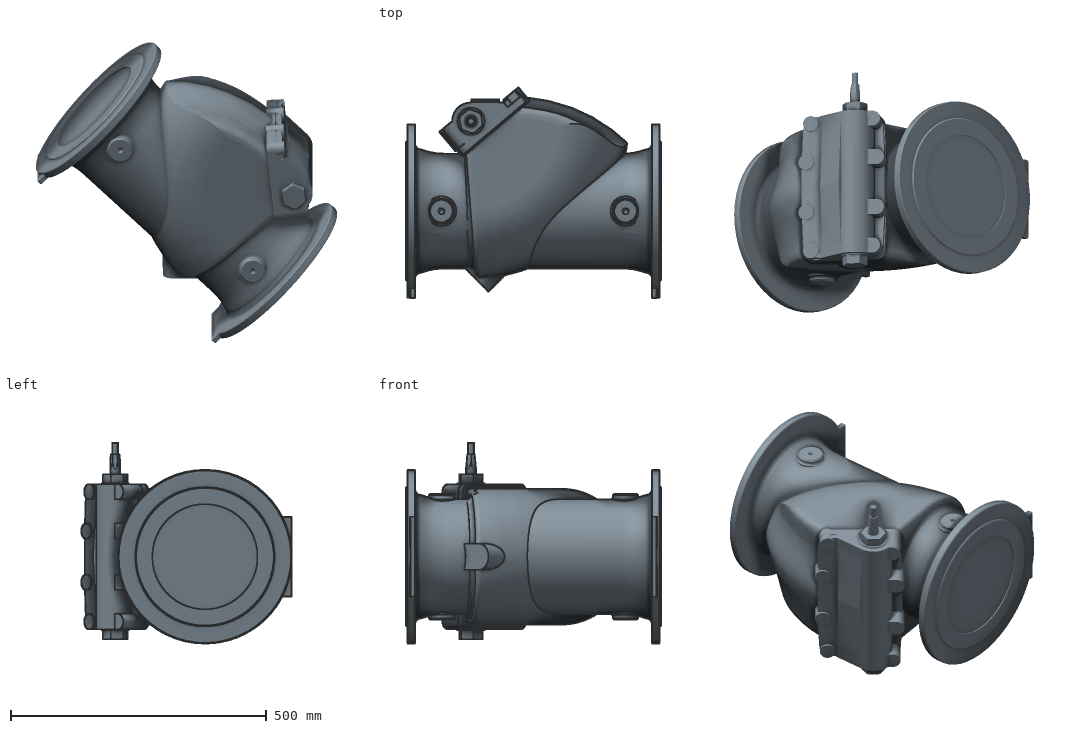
import cadquery as cq
import math

face_to_face = 500.0
pipe_radius = 225.2 / 2
pipe_seam_turn = 40.0

flange_radius = 170.0
flange_thickness = 19.0
raised_face_height = 3.0
raised_face_radius = 136.5
raised_face_chamfer = 2.0
flange_chamfer = 1.5
recess_radius = 103.0
recess_depth = 2.0
foot_width = 157.0
foot_height = 30.0
foot_thickness = 11.0
foot_corner = 3.0
foot_edge_chamfer = 1.5

neck_start = 74.0
flare_end = 29.0
flare_rise = 8.5
root_rise = 16.5

plug_offset = 180.0
plug_radius = 25.0
plug_height = 123.0
plug_chamfer = 3.0
plug_root = 4.0
plug_hole_diameter = 12.0

hinge_x = -122.2
hinge_y = 175.6
hinge_tilt = 40.0

chamber_radius = 133.0
seat_tilt = 4.5
seat_lip = 14.5
shoulder_radius = 10.0
fillet_sink = 0.6
chamber_top = -30.0
chamber_overlap = 2.0
chamber_sweep = 130.0
crown_x = -39.0
crown_y = -96.5
crown_radius = 319.6
crown_drop = 40.0
crown_mid_drop = 20.0
crown_mid_height = 0.74 * chamber_radius

stop_angle = 45.0
stop_tip_x = -88.0
stop_tip_y = -157.5
stop_radius = 25.5
stop_length = 69.0
stop_depth = 60.0

cover_half_height = 142.0
joint_bottom = -43.0
joint_line = -25.0
plate_top = -12.5
lug_radius = 15.0
lug_edge_z = cover_half_height - lug_radius
lug_middle_z = 50.0
near_corner_u = -38.0
near_middle_u = -46.0
near_lug_top = 24.0
near_web_end = -20.0
far_corner_u = 89.5
far_middle_u = 98.63
far_lug_top = -8.6
plate_bow = 5.0
joint_chamfer = 3.0
gasket_step = 1.5
housing_radius = 37.0
ridge_rise = 6.0
ridge_length = 55.0
ridge_sink = 1.0

washer_radius = 26.5
washer_height = 2.0
nut_corner_radius = 24.6
nut_top = 161.5
nut_chamfer = 1.5
stem_radius = 10.0
stem_taper_start = 172.0
stem_taper_end = 200.5
hexagon_top = 16.8
hexagon_bottom = 23.0
hexagon_turn = 50.0
pin_diameter = 12.0
stem_top = 222.85


def place_on_hinge(shape):
    """Move a shape from hinge coordinates to the valve position."""
    return shape.rotate((0, 0, 0), (0, 0, 1), hinge_tilt).translate((hinge_x, hinge_y, 0))


def make_pipe():
    """Straight pipe between the two necks."""
    pipe_length = face_to_face - 2 * neck_start
    pipe = cq.Workplane("YZ").circle(pipe_radius).extrude(pipe_length / 2, both=True)
    return pipe.rotate((0, 0, 0), (1, 0, 0), pipe_seam_turn)


def make_end():
    """Flange, foot and flared neck of the -X end."""
    end = -face_to_face / 2
    face_x = end + raised_face_height
    back_x = end + flange_thickness
    root_radius = pipe_radius + root_rise
    flare_radius = pipe_radius + flare_rise
    flare_mid = (neck_start + flare_end) / 2
    neck = (
        cq.Workplane("XY")
        .moveTo(back_x, 0)
        .lineTo(back_x, root_radius)
        .threePointArc(
            (back_x + (flare_end - flange_thickness) * 0.3, pipe_radius + (flare_rise + root_rise) * 0.45),
            (end + flare_end, flare_radius),
        )
        .threePointArc((end + flare_mid, pipe_radius + flare_rise / 4), (end + neck_start, pipe_radius))
        .lineTo(end + neck_start, 0)
        .close()
        .revolve(360, (0, 0, 0), (1, 0, 0))
    )
    plate = (
        cq.Workplane("YZ", origin=(face_x, 0, 0))
        .circle(flange_radius)
        .extrude(flange_thickness - raised_face_height)
        .edges()
        .chamfer(flange_chamfer)
    )
    foot = (
        cq.Workplane("YZ", origin=(back_x - foot_thickness, -flange_radius + foot_height / 2, 0))
        .rect(foot_height, foot_width)
        .extrude(foot_thickness)
        .edges("|X and <Y")
        .fillet(foot_corner)
        .faces("<X or >X")
        .edges()
        .chamfer(foot_edge_chamfer)
    )
    raised_face = (
        cq.Workplane("YZ", origin=(end, 0, 0))
        .circle(raised_face_radius)
        .extrude(flange_thickness)
        .faces("<X")
        .chamfer(raised_face_chamfer)
    )
    recess = cq.Workplane("YZ", origin=(end, 0, 0)).circle(recess_radius).extrude(recess_depth)
    return plate.union(foot).union(raised_face).union(neck).cut(recess)


def make_plug(x, side):
    """Chamfered plug boss with a conical centre, on the +Z or -Z side."""
    boss = (
        cq.Workplane("XZ", origin=(x, 0, 0))
        .lineTo(plug_radius + plug_root, 0)
        .lineTo(plug_radius + plug_root, pipe_radius)
        .radiusArc((plug_radius, pipe_radius + plug_root), plug_root)
        .lineTo(plug_radius, plug_height - plug_chamfer)
        .lineTo(plug_radius - plug_chamfer, plug_height)
        .lineTo(0, plug_height)
        .close()
        .revolve(360, (0, 0, 0), (0, 1, 0))
    )
    hole_radius = plug_hole_diameter / 2
    cone = cq.Workplane(
        cq.Solid.makeCone(0, hole_radius, hole_radius, cq.Vector(x, 0, plug_height - hole_radius))
    )
    boss = boss.cut(cone)
    return boss if side > 0 else boss.mirror("XY")


def chamber_profile(plane):
    """Half slab from the hinge axis ending in a half circle."""
    return (
        cq.Workplane(plane)
        .moveTo(0, -chamber_radius)
        .lineTo(hinge_y, -chamber_radius)
        .threePointArc((hinge_y + chamber_radius, 0), (hinge_y, chamber_radius))
        .lineTo(0, chamber_radius)
        .close()
    )


def make_chamber():
    """Swept swing chamber with a rounded seat shoulder and a crowned top wall."""
    swept = chamber_profile("XZ").revolve(chamber_sweep, (0, 0, 0), (0, 1, 0))
    if swept.val().BoundingBox().ymin < -hinge_y:
        swept = swept.mirror("XZ")
    lip = chamber_profile("XZ").extrude(seat_lip)
    lip = lip.faces("<Y").edges("not(<X)").fillet(shoulder_radius)
    chamber = swept.union(lip)
    chamber = chamber.rotate((0, 0, 0), (0, 0, 1), seat_tilt - 90).translate((hinge_x, hinge_y, 0))

    crown = (
        cq.Workplane("XZ")
        .moveTo(0, -chamber_radius)
        .lineTo(crown_radius - crown_drop, -chamber_radius)
        .spline(
            [
                (crown_radius - crown_mid_drop, -crown_mid_height),
                (crown_radius, 0),
                (crown_radius - crown_mid_drop, crown_mid_height),
                (crown_radius - crown_drop, chamber_radius),
            ],
            tangents=[(1, 0), (-1, 0)],
            includeCurrent=True,
        )
        .lineTo(0, chamber_radius)
        .close()
        .revolve(360, (0, 0, 0), (0, 1, 0))
        .translate((crown_x, crown_y, 0))
    )
    reach = 2 * face_to_face
    cut_height = chamber_top + chamber_overlap
    below_cover = cq.Workplane("XY").box(reach, reach, reach).translate((0, cut_height - reach / 2, 0))
    return chamber.intersect(crown).intersect(place_on_hinge(below_cover))


def make_seat_fillet():
    """Concave ring blending the seat shoulder into the pipe."""
    inner = pipe_radius - shoulder_radius
    toe = -seat_lip - shoulder_radius
    toe_radius = pipe_radius - fillet_sink
    profile = (
        cq.Workplane("XY")
        .moveTo(-seat_lip, inner)
        .lineTo(-seat_lip, toe_radius + shoulder_radius)
        .radiusArc((toe, toe_radius), shoulder_radius)
        .lineTo(toe, inner)
        .close()
    )
    ring = profile.revolve(360, (0, 0, 0), (1, 0, 0))
    centre_x = hinge_x + hinge_y * math.sin(math.radians(seat_tilt))
    return ring.rotate((0, 0, 0), (0, 0, 1), seat_tilt).translate((centre_x, 0, 0))


def make_stop_boss():
    """D-shaped boss with its flat end facing down and toward -X."""
    start = stop_radius - stop_length
    boss = (
        cq.Workplane("YZ")
        .moveTo(-start, -stop_radius)
        .lineTo(0, -stop_radius)
        .threePointArc((-stop_radius, 0), (0, stop_radius))
        .lineTo(-start, stop_radius)
        .close()
        .extrude(stop_depth)
        .translate((0, stop_radius, 0))
    )
    return boss.rotate((0, 0, 0), (0, 0, 1), stop_angle).translate((stop_tip_x, stop_tip_y, 0))


def make_lug(u, z, bottom, top):
    """Round bolt lug along the cover normal."""
    return cq.Workplane("XZ", origin=(u, top, z)).circle(lug_radius).extrude(top - bottom)


def make_near_lug(u, z):
    """Tall bolt lug with a flat web running into the shaft housing."""
    return (
        cq.Workplane("XZ", origin=(u, near_lug_top, z))
        .moveTo(near_web_end - u, -lug_radius)
        .lineTo(0, -lug_radius)
        .threePointArc((-lug_radius, 0), (0, lug_radius))
        .lineTo(near_web_end - u, lug_radius)
        .close()
        .extrude(near_lug_top - joint_line)
    )


def make_housing_ridge():
    """Shallow gable on the housing roof, highest at mid length of the shaft."""
    ridge_eave = housing_radius - ridge_sink
    return (
        cq.Workplane("YZ")
        .moveTo(0, -cover_half_height)
        .lineTo(ridge_eave, -cover_half_height)
        .lineTo(housing_radius + ridge_rise, 0)
        .lineTo(ridge_eave, cover_half_height)
        .lineTo(0, cover_half_height)
        .close()
        .extrude(ridge_length)
        .rotate((0, 0, 0), (0, 0, 1), -hinge_tilt)
    )


def make_cover_plate(bottom, top, inset):
    """Cover joint plate with rounded corners and bowed short edges."""
    corner = lug_radius - inset
    near = near_corner_u - corner
    far = far_corner_u + corner
    edge = lug_edge_z + corner
    return (
        cq.Workplane("XZ", origin=(0, top, 0))
        .moveTo(near, -edge)
        .lineTo(far, -edge)
        .threePointArc((far + plate_bow, 0), (far, edge))
        .lineTo(near, edge)
        .threePointArc((near - plate_bow, 0), (near, -edge))
        .close()
        .extrude(top - bottom)
        .edges("|Y")
        .fillet(corner)
    )


def make_housing():
    """Shaft housing: rounded around the hinge axis with a flat roof."""
    top_angle = math.radians(90 - hinge_tilt)
    tilt = math.radians(hinge_tilt)
    roof_end_u = (housing_radius - plate_top * math.cos(tilt)) / math.sin(tilt)
    mid_angle = (math.pi + top_angle) / 2
    return (
        cq.Workplane("XY")
        .moveTo(-housing_radius, chamber_top)
        .lineTo(-housing_radius, 0)
        .threePointArc(
            (housing_radius * math.cos(mid_angle), housing_radius * math.sin(mid_angle)),
            (housing_radius * math.cos(top_angle), housing_radius * math.sin(top_angle)),
        )
        .lineTo(roof_end_u, plate_top)
        .lineTo(roof_end_u, chamber_top)
        .close()
        .extrude(cover_half_height, both=True)
    )


def make_cover():
    """Cover plate, shaft housing and bolt lugs, in hinge coordinates."""
    cover = make_cover_plate(joint_line, plate_top, gasket_step)
    body_plate = make_cover_plate(joint_bottom, joint_line, 0).faces("<Y").edges().chamfer(joint_chamfer)
    cover = cover.union(body_plate)
    cover = cover.union(make_housing()).union(make_housing_ridge())
    for side in (-1, 1):
        cover = cover.union(make_near_lug(near_corner_u, side * lug_edge_z))
        cover = cover.union(make_near_lug(near_middle_u, side * lug_middle_z))
        cover = cover.union(make_lug(far_corner_u, side * lug_edge_z, joint_bottom, far_lug_top))
        cover = cover.union(make_lug(far_middle_u, side * lug_middle_z, joint_bottom, far_lug_top))
    return cover


def make_gland(side):
    """Washer and hexagon nut on one end of the hinge shaft."""
    washer = cq.Workplane("XY").circle(washer_radius).extrude(cover_half_height + washer_height)
    nut = cq.Workplane("XY").polygon(6, 2 * nut_corner_radius).extrude(nut_top)
    blank = (
        cq.Workplane("XY").circle(nut_corner_radius).extrude(nut_top).faces(">Z").chamfer(nut_chamfer)
    )
    gland = washer.union(nut.intersect(blank))
    return gland if side > 0 else gland.mirror("XY")


def make_stem():
    """Indicator stem: round shank, tapered hexagon and slim pin."""
    taper_length = stem_taper_end - stem_taper_start
    shank = cq.Workplane("XY").circle(stem_radius).extrude(stem_taper_start)
    hexagon = (
        cq.Workplane("XY", origin=(0, 0, stem_taper_start))
        .polygon(6, hexagon_bottom)
        .workplane(offset=taper_length)
        .polygon(6, hexagon_top)
        .loft()
        .rotate((0, 0, 0), (0, 0, 1), hexagon_turn)
    )
    limit = cq.Workplane("XY", origin=(0, 0, stem_taper_start)).circle(stem_radius).extrude(taper_length)
    pin = cq.Workplane("XY").circle(pin_diameter / 2).extrude(stem_top)
    return shank.union(hexagon.intersect(limit)).union(pin)


near_end = make_end()
body = make_pipe().union(make_chamber()).union(make_seat_fillet()).union(make_stop_boss())
body = body.union(near_end).union(near_end.mirror("YZ"))
for plug_x in (-plug_offset, plug_offset):
    for plug_side in (-1, 1):
        body = body.union(make_plug(plug_x, plug_side))

hinge = make_cover()
for gland_side in (-1, 1):
    hinge = hinge.union(make_gland(gland_side))
hinge = hinge.union(make_stem())

result = body.union(place_on_hinge(hinge))